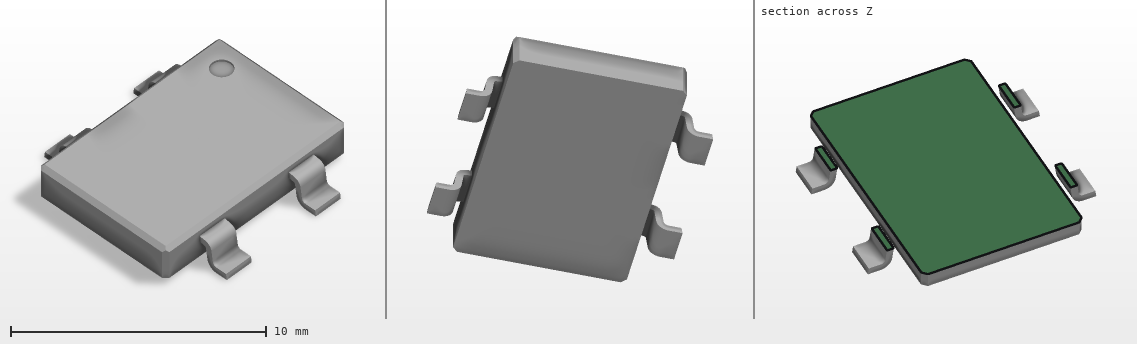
import cadquery as cq
import math

BODY_X = 7.0
BODY_Y = 10.2
OVERALL_HEIGHT = 1.9
STANDOFF = 0.3
BODY_HEIGHT = OVERALL_HEIGHT - STANDOFF
CHAMFER = 0.2

MARKER_DIAMETER = 1.0
MARKER_DEPTH = 0.1
MARKER_X = -2.1
MARKER_Y = 3.8

LEAD_SPAN = 9.96
LEAD_WIDTH = 1.4
LEAD_PITCH = 5.0
LEAD_THICKNESS = 0.3
LEAD_SLOPE = 8.0
ARM_TOP_AT_WALL = 1.4
ARM_REACH = 0.3
ARM_EMBED = 0.2
UPPER_OUTER_RADIUS = 0.4
UPPER_INNER_RADIUS = UPPER_OUTER_RADIUS - LEAD_THICKNESS
LOWER_INNER_RADIUS = 0.2
LOWER_OUTER_RADIUS = LOWER_INNER_RADIUS + LEAD_THICKNESS


def polar(centre, radius, degrees):
    """Point at a given radius and angle from a centre."""
    angle = math.radians(degrees)
    return (centre[0] + radius * math.cos(angle), centre[1] + radius * math.sin(angle))


def make_body():
    """Block whose top and upright chamfers meet in a single point at each corner."""
    block = cq.Workplane("XY").box(BODY_X, BODY_Y, BODY_HEIGHT, centered=(True, True, False))
    block = block.translate((0, 0, STANDOFF))
    top_chamfered = block.faces(">Z").edges().chamfer(CHAMFER)
    upright_chamfered = block.edges("|Z").chamfer(CHAMFER)
    return top_chamfered.intersect(upright_chamfered)


def make_marker():
    plane = cq.Workplane("XY", origin=(MARKER_X, MARKER_Y, OVERALL_HEIGHT - MARKER_DEPTH))
    return plane.circle(MARKER_DIAMETER / 2).extrude(MARKER_DEPTH)


def make_lead():
    """One lead on the +X side, centred on Y = 0."""
    slope = math.radians(LEAD_SLOPE)
    wall_x = BODY_X / 2
    toe_x = LEAD_SPAN / 2

    arm_normal = 90 - LEAD_SLOPE
    leg_normal = LEAD_SLOPE
    upper_middle = (arm_normal + leg_normal) / 2
    leg_side = 180 + LEAD_SLOPE
    foot_side = 270
    lower_middle = (leg_side + foot_side) / 2

    arm_end = (wall_x + ARM_REACH, ARM_TOP_AT_WALL - ARM_REACH * math.tan(slope))
    upper = polar(arm_end, -UPPER_OUTER_RADIUS, arm_normal)

    lower_z = LOWER_OUTER_RADIUS
    across_leg = UPPER_OUTER_RADIUS + LOWER_INNER_RADIUS
    lower_x = upper[0] + (across_leg - (lower_z - upper[1]) * math.sin(slope)) / math.cos(slope)
    lower = (lower_x, lower_z)

    embed_x = wall_x - ARM_EMBED
    embed_top = ARM_TOP_AT_WALL + ARM_EMBED * math.tan(slope)
    embed_bottom = embed_top - LEAD_THICKNESS / math.cos(slope)
    toe_top_x = toe_x - LEAD_THICKNESS * math.tan(slope)

    profile = (
        cq.Workplane("XZ")
        .moveTo(embed_x, embed_top)
        .lineTo(*arm_end)
        .threePointArc(
            polar(upper, UPPER_OUTER_RADIUS, upper_middle),
            polar(upper, UPPER_OUTER_RADIUS, leg_normal),
        )
        .lineTo(*polar(lower, LOWER_INNER_RADIUS, leg_side))
        .threePointArc(
            polar(lower, LOWER_INNER_RADIUS, lower_middle),
            polar(lower, LOWER_INNER_RADIUS, foot_side),
        )
        .lineTo(toe_top_x, LEAD_THICKNESS)
        .lineTo(toe_x, 0)
        .lineTo(lower_x, 0)
        .threePointArc(
            polar(lower, LOWER_OUTER_RADIUS, lower_middle),
            polar(lower, LOWER_OUTER_RADIUS, leg_side),
        )
        .lineTo(*polar(upper, UPPER_INNER_RADIUS, leg_normal))
        .threePointArc(
            polar(upper, UPPER_INNER_RADIUS, upper_middle),
            polar(upper, UPPER_INNER_RADIUS, arm_normal),
        )
        .lineTo(embed_x, embed_bottom)
        .close()
    )
    return profile.extrude(LEAD_WIDTH / 2, both=True)


result = make_body().cut(make_marker())
right_lead = make_lead()
left_lead = right_lead.mirror("YZ")
for lead_y in (-LEAD_PITCH / 2, LEAD_PITCH / 2):
    for lead in (left_lead, right_lead):
        result = result.union(lead.translate((0, lead_y, 0)))